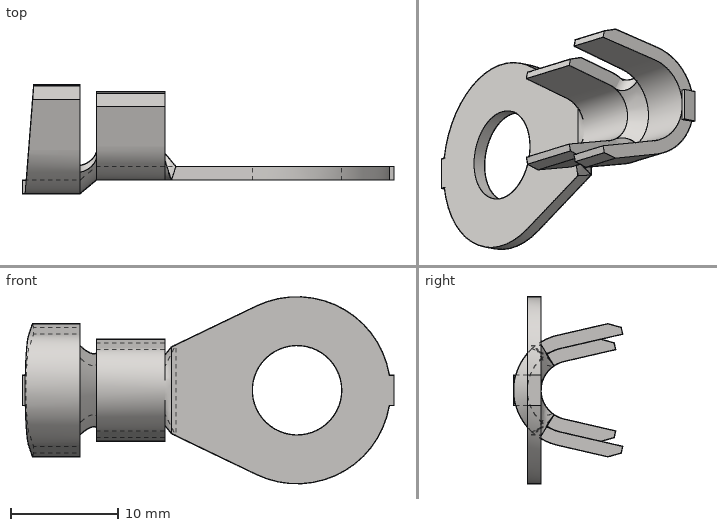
import cadquery as cq
import math


THICKNESS = 1.28

RING_RADIUS = 8.72
HOLE_RADIUS = 4.15
END_TAB_X = 9.05
TAB_HALF_WIDTH = 1.42
EDGE_ANGLE = math.radians(25.7)
PLATE_START_X = -11.7
PLATE_BEND_SLANT = 0.4

WIRE_X = (-18.7, -12.3)
WIRE_RADIUS = 4.0
WIRE_TIP_Y = 8.25

TOTAL_LENGTH = 34.6
INSULATION_X = (-25.35, -20.2)
INSULATION_RADIUS = 5.25
INSULATION_TIP_Y = 8.9
INSULATION_BASE_Y = -THICKNESS
END_SLANT = 0.8

WING_FLARE = math.radians(13)
TIP_CHAMFER_LENGTH = 1.15
TIP_CHAMFER_DEPTH = 0.62

NECK_ANGLE = 61.0
SCOOP_START_DEPTH = 0.83
SCOOP_MIDDLE_DEPTH = 0.85
BEND_ANGLE = 56.0

wire_center_y = WIRE_RADIUS
insulation_center_y = INSULATION_BASE_Y + INSULATION_RADIUS


def crimp_barrel(x_range, base_y, radius, tip_y):
    """U-shaped barrel with flared wings whose tips are chamfered on the outside."""
    center_y = base_y + radius
    inner_radius = radius - THICKNESS
    wing = (tip_y - center_y + inner_radius * math.sin(WING_FLARE)) / math.cos(WING_FLARE)

    def wing_point(along, offset, side):
        y = center_y - offset * math.sin(WING_FLARE) + along * math.cos(WING_FLARE)
        z = offset * math.cos(WING_FLARE) + along * math.sin(WING_FLARE)
        return (y, side * z)

    def wing_tip(side):
        return [
            wing_point(wing - TIP_CHAMFER_LENGTH, radius, side),
            wing_point(wing, radius - TIP_CHAMFER_DEPTH, side),
            wing_point(wing, inner_radius, side),
        ]

    profile = cq.Workplane("YZ", origin=(x_range[0], 0, 0)).moveTo(*wing_point(0, radius, -1))
    profile = profile.threePointArc((base_y, 0), wing_point(0, radius, 1))
    for point in wing_tip(1):
        profile = profile.lineTo(*point)
    profile = profile.lineTo(*wing_point(0, inner_radius, 1))
    profile = profile.threePointArc((base_y + THICKNESS, 0), wing_point(0, inner_radius, -1))
    for point in reversed(wing_tip(-1)):
        profile = profile.lineTo(*point)
    return profile.close().extrude(x_range[1] - x_range[0])


def sector_wire(x, center_y, radius, half_angle):
    """Closed section of curved sheet at one X, ending in radial edges."""
    def at(r, angle):
        turn = math.radians(angle)
        return cq.Vector(x, center_y - r * math.cos(turn), r * math.sin(turn))

    inner = radius - THICKNESS
    return cq.Wire.assembleEdges([
        cq.Edge.makeThreePointArc(at(radius, -half_angle), at(radius, 0), at(radius, half_angle)),
        cq.Edge.makeLine(at(radius, half_angle), at(inner, half_angle)),
        cq.Edge.makeThreePointArc(at(inner, half_angle), at(inner, 0), at(inner, -half_angle)),
        cq.Edge.makeLine(at(inner, -half_angle), at(radius, -half_angle)),
    ])


tangent_x = -RING_RADIUS * math.sin(EDGE_ANGLE)
tangent_z = RING_RADIUS * math.cos(EDGE_ANGLE)


def plate_half_width(x):
    return tangent_z + (x - tangent_x) * math.tan(EDGE_ANGLE)


def ring_plate():
    start_half = plate_half_width(PLATE_START_X)
    plate = (
        cq.Workplane("XZ")
        .moveTo(PLATE_START_X, -start_half)
        .lineTo(tangent_x, -tangent_z)
        .threePointArc((RING_RADIUS, 0), (tangent_x, tangent_z))
        .lineTo(PLATE_START_X, start_half)
        .close()
        .extrude(-THICKNESS)
    )
    end_tab = cq.Workplane("XY").box(
        END_TAB_X - HOLE_RADIUS, THICKNESS, 2 * TAB_HALF_WIDTH, centered=(False, False, True)
    ).translate((HOLE_RADIUS, 0, 0))
    hole = cq.Workplane("XZ").circle(HOLE_RADIUS).extrude(-THICKNESS)
    bend_relief = (
        cq.Workplane("XY")
        .polyline([
            (PLATE_START_X, 0),
            (PLATE_START_X + PLATE_BEND_SLANT, THICKNESS),
            (PLATE_START_X, THICKNESS),
        ])
        .close()
        .extrude(RING_RADIUS, both=True)
    )
    return plate.union(end_tab).cut(hole).cut(bend_relief)


def plate_bend():
    """Sheet flattening from the curved wire barrel into the plate."""
    back_x = PLATE_START_X + PLATE_BEND_SLANT
    front_half = plate_half_width(PLATE_START_X)
    back_half = plate_half_width(back_x)
    flat_end = cq.Wire.makePolygon([
        cq.Vector(PLATE_START_X, 0, -front_half),
        cq.Vector(PLATE_START_X, 0, front_half),
        cq.Vector(back_x, THICKNESS, back_half),
        cq.Vector(back_x, THICKNESS, -back_half),
    ], close=True)
    curved_end = sector_wire(WIRE_X[1], wire_center_y, WIRE_RADIUS, BEND_ANGLE)
    return cq.Workplane(cq.Solid.makeLoft([curved_end, flat_end], True))


def barrel_neck():
    """Conical sheet joining the two barrels, with a round scoop cut radially into each side."""
    start_x = INSULATION_X[1]
    end_x = WIRE_X[0]
    cone = cq.Workplane(cq.Solid.makeLoft([
        sector_wire(start_x, insulation_center_y, INSULATION_RADIUS, NECK_ANGLE),
        sector_wire(end_x, wire_center_y, WIRE_RADIUS, NECK_ANGLE),
    ], True))
    turn = math.radians(NECK_ANGLE)
    side_plane = cq.Plane(
        origin=(0, wire_center_y, 0), xDir=(1, 0, 0), normal=(0, -math.cos(turn), math.sin(turn))
    )
    scoop = (
        cq.Workplane(side_plane)
        .moveTo(start_x, -SCOOP_START_DEPTH)
        .threePointArc(((start_x + end_x) / 2, -SCOOP_MIDDLE_DEPTH), (end_x, 0))
        .lineTo(end_x, THICKNESS)
        .lineTo(start_x, THICKNESS)
        .close()
        .extrude(2 * INSULATION_RADIUS)
    )
    return cone.cut(scoop).cut(scoop.mirror("XY"))


def insulation_barrel():
    barrel = crimp_barrel(INSULATION_X, INSULATION_BASE_Y, INSULATION_RADIUS, INSULATION_TIP_Y)
    slanted_end = (
        cq.Workplane("XY")
        .polyline([
            (INSULATION_X[0], INSULATION_BASE_Y),
            (INSULATION_X[0] + END_SLANT, INSULATION_TIP_Y),
            (INSULATION_X[0], INSULATION_TIP_Y),
        ])
        .close()
        .extrude(2 * INSULATION_RADIUS, both=True)
    )
    return barrel.cut(slanted_end)


def free_end_tab():
    """Short cut-off stub on the slanted end of the insulation barrel."""
    free_x = END_TAB_X - TOTAL_LENGTH
    slant_at_tab = END_SLANT * THICKNESS / (INSULATION_TIP_Y - INSULATION_BASE_Y)
    return (
        cq.Workplane("XY")
        .polyline([
            (free_x, INSULATION_BASE_Y),
            (INSULATION_X[0], INSULATION_BASE_Y),
            (INSULATION_X[0] + slant_at_tab, INSULATION_BASE_Y + THICKNESS),
            (free_x, INSULATION_BASE_Y + THICKNESS),
        ])
        .close()
        .extrude(TAB_HALF_WIDTH, both=True)
    )


wire_barrel = crimp_barrel(WIRE_X, 0, WIRE_RADIUS, WIRE_TIP_Y)

result = (
    ring_plate()
    .union(plate_bend())
    .union(wire_barrel)
    .union(barrel_neck())
    .union(insulation_barrel())
    .union(free_end_tab())
)